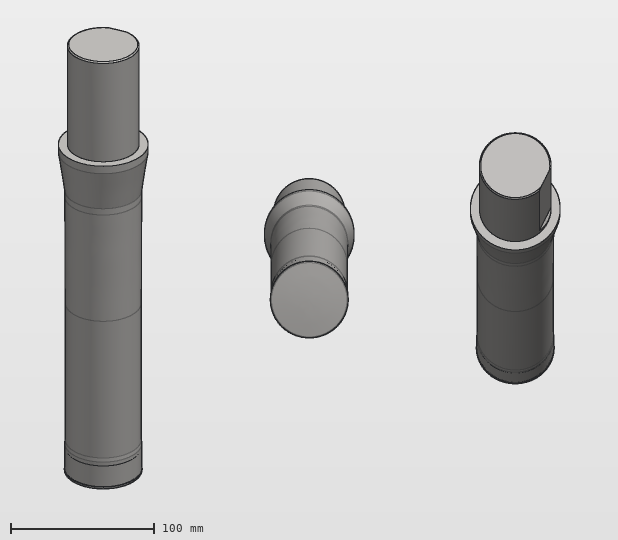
import cadquery as cq
import math

shank_diameter = 49.99
body_diameter = 53.08
head_diameter = 53.62
collar_diameter = 62.5

total_length = 340.98
head_bottom_corner = 22.8
head_taper_top = 25.9
body_cylinder_top = 135.0
neck_bottom = 220.0
neck_top = 225.0
collar_bottom = 255.5
shank_length = 79.5
collar_top = total_length - shank_length

shank_chamfer = 1.0
flat_distance = 23.0
flat_start_height = 2.5

rim_diameter = 54.3
rim_radius = 0.9
rim_center_height = 2.0
spigot_diameter = 52.2
spigot_top = 19.3

shank_radius = shank_diameter / 2
body_radius = body_diameter / 2
head_radius = head_diameter / 2
collar_radius = collar_diameter / 2
spigot_radius = spigot_diameter / 2

rim_center_radius = rim_diameter / 2 - rim_radius
dome_height = rim_center_height - rim_radius
head_bottom = rim_center_height + math.sqrt(rim_radius**2 - (head_radius - rim_center_radius) ** 2)


def make_cutter():
    """Cutting disc with a rounded rim, a very shallow dome underneath and a spigot on top."""
    return (
        cq.Workplane("XZ")
        .threePointArc(
            (rim_center_radius / 2, dome_height / 4),
            (rim_center_radius, dome_height),
        )
        .threePointArc((rim_diameter / 2, rim_center_height), (head_radius, head_bottom))
        .lineTo(spigot_radius, head_bottom)
        .lineTo(spigot_radius, spigot_top)
        .lineTo(0, spigot_top)
        .close()
        .revolve(360, (0, 0), (0, 1))
    )


def make_shank_flat():
    """Block that cuts the +Y flat on the shank, with a 45 degree run-out above the collar."""
    run_out = shank_radius - flat_distance
    start = collar_top + flat_start_height
    return (
        cq.Workplane("YZ")
        .moveTo(flat_distance, start + run_out)
        .lineTo(shank_radius, start)
        .lineTo(collar_radius, start)
        .lineTo(collar_radius, total_length)
        .lineTo(flat_distance, total_length)
        .close()
        .extrude(shank_radius, both=True)
    )


def make_holder():
    """Holder: socketed head, long body, slightly tapered neck, conical collar and clamping shank."""
    profile = [
        (0, spigot_top),
        (spigot_radius, spigot_top),
        (spigot_radius, head_bottom),
        (head_radius, head_bottom),
        (head_radius, head_bottom_corner),
        (body_radius, head_taper_top),
        (body_radius, body_cylinder_top),
        (head_radius, neck_bottom),
        (head_radius, neck_top),
        (collar_radius, collar_bottom),
        (collar_radius, collar_top),
        (shank_radius, collar_top),
        (shank_radius, total_length - shank_chamfer),
        (shank_radius - shank_chamfer, total_length),
        (0, total_length),
    ]
    blank = cq.Workplane("XZ").polyline(profile).close().revolve(360, (0, 0), (0, 1))
    return blank.cut(make_shank_flat())


cutter = make_cutter()
holder = make_holder()
result = cq.Compound.makeCompound([cutter.val(), holder.val()])